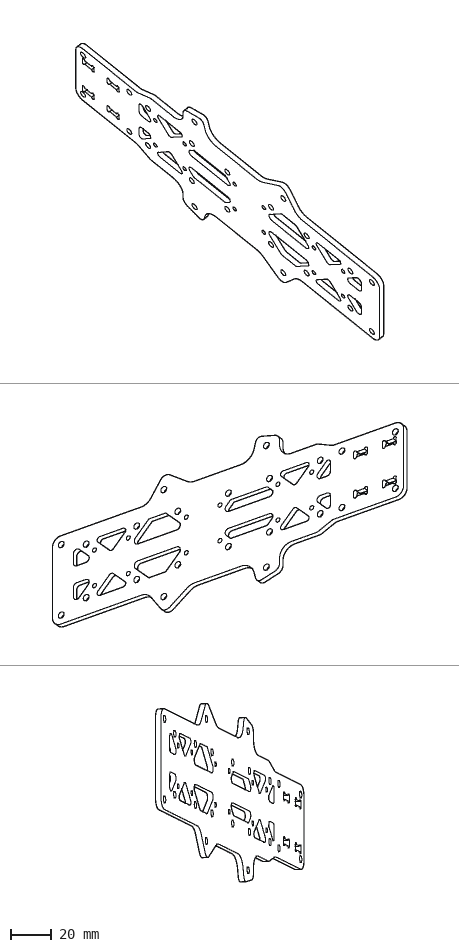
import cadquery as cq
import math

length = 210.0
thickness = 3.0

tail_half = 21.0
body_half = 25.0
waist_half = 28.8
taper_start_x = -62.5
taper_end_x = -53.3

front_ear_left_x = -30.9
front_ear_tip = (-17.2, 41.4)
front_ear_tilt = math.radians(15)

rear_ear_tip = (38.0, 39.7)
rear_ear_tilt = math.radians(35)

plate_corner_radius = 5.0
taper_radius = 4.0
ear_tip_radius = 4.0
front_ear_tip_radius = 3.0
body_root_radius = 7.0
waist_root_radius = 8.0

group_pitch = 54.8
middle_group_x = 15.0
group_centers = [middle_group_x + step * group_pitch for step in (-1, 0, 1)]
bolt_offset = 15.1
pin_offset = 10.0
bolt_diameter = 3.4
pin_diameter = 2.3

edge_holes = [(-100.0, 16.0), (-68.0, 16.0), (-22.9, 34.5), (38.5, 30.2), (99.8, 20.0)]

window_inner_z = 4.8
window_outer_z = 16.5
window_radius = 2.0
triangle_radius = 1.58
tail_tip_radius = 1.36
blunt_radius = 0.8
triangle_half_width = 10.7
slot_outer_z = 11.0
slot_half_length = 17.0
trapezoid_half_length = 13.6
trapezoid_outer_half_length = 5.0
tail_triangle_x = -61.1
tail_triangle_leg = 10.7
nose_triangle_x = 92.5
nose_triangle_leg = 12.2

strap_centers_x = [-96.4, -79.2]
strap_center_z = 11.1
strap_length = 8.2
strap_width = 2.7
relief_diameter = 1.7


def rounded_polygon(corners):
    """Closed XZ outline through (x, z, radius) corners, each rounded by a tangent arc."""
    starts, middles, ends = [], [], []
    count = len(corners)
    for i, (x, z, radius) in enumerate(corners):
        corner = cq.Vector(x, z)
        before = (cq.Vector(*corners[i - 1][:2]) - corner).normalized()
        after = (cq.Vector(*corners[(i + 1) % count][:2]) - corner).normalized()
        half_angle = before.getAngle(after) / 2
        trim = radius / math.tan(half_angle)
        arc_depth = radius / math.sin(half_angle) - radius
        starts.append(corner + before * trim)
        middles.append(corner + (before + after).normalized() * arc_depth)
        ends.append(corner + after * trim)
    outline = cq.Workplane("XZ").moveTo(ends[-1].x, ends[-1].y)
    for start, middle, end in zip(starts, middles, ends):
        outline = outline.lineTo(start.x, start.y)
        outline = outline.threePointArc((middle.x, middle.y), (end.x, end.y))
    return outline.close()


def mirrored_cut(plate, corners):
    """Cut a rounded window and its mirror image below the X axis."""
    for side in (1, -1):
        window = [(x, side * z, radius) for x, z, radius in corners]
        plate = plate.cut(rounded_polygon(window).extrude(thickness))
    return plate


def cut_holes(plate, points, diameter):
    """Drill through holes at (x, z) points and at their mirror images."""
    both_sides = [(x, side * z) for x, z in points for side in (1, -1)]
    drills = cq.Workplane("XZ").pushPoints(both_sides).circle(diameter / 2).extrude(thickness)
    return plate.cut(drills)


def make_plate():
    """Plate with tapered tail, two pairs of ears and rounded ends."""
    tip_x, tip_z = front_ear_tip
    front_ear_left_z = tip_z - (tip_x - front_ear_left_x) * math.tan(front_ear_tilt)
    front_ear_foot_x = tip_x + (tip_z - waist_half) * math.tan(front_ear_tilt)
    peak_x, peak_z = rear_ear_tip
    rear_ear_start_x = peak_x - (peak_z - waist_half) / math.tan(rear_ear_tilt)
    rear_ear_end_x = peak_x + (peak_z - body_half) * math.tan(rear_ear_tilt)
    upper = [
        (-length / 2, tail_half, plate_corner_radius),
        (taper_start_x, tail_half, taper_radius),
        (taper_end_x, body_half, taper_radius),
        (front_ear_left_x, body_half, body_root_radius),
        (front_ear_left_x, front_ear_left_z, ear_tip_radius),
        (tip_x, tip_z, front_ear_tip_radius),
        (front_ear_foot_x, waist_half, waist_root_radius),
        (rear_ear_start_x, waist_half, waist_root_radius),
        (peak_x, peak_z, ear_tip_radius),
        (rear_ear_end_x, body_half, body_root_radius),
        (length / 2, body_half, plate_corner_radius),
    ]
    lower = [(x, -z, radius) for x, z, radius in reversed(upper)]
    return rounded_polygon(upper + lower).extrude(thickness)


def cut_group_holes(plate):
    """Four bolt holes and four pin holes on the corners of squares in each hole group."""
    bolts = [(x + side * bolt_offset, bolt_offset) for x in group_centers for side in (1, -1)]
    pins = [(x + side * pin_offset, pin_offset) for x in group_centers for side in (1, -1)]
    plate = cut_holes(plate, bolts, bolt_diameter)
    return cut_holes(plate, pins, pin_diameter)


def cut_center_triangle(plate, x):
    """Triangle inside a hole group, pointing at the X axis."""
    return mirrored_cut(plate, [
        (x - triangle_half_width, window_outer_z, triangle_radius),
        (x + triangle_half_width, window_outer_z, triangle_radius),
        (x, window_outer_z - triangle_half_width, triangle_radius),
    ])


def cut_end_triangle(plate, x, leg, toward, tip_radius):
    """Right triangle with its upright side at x, pointing toward +X or -X."""
    return mirrored_cut(plate, [
        (x, window_inner_z, window_radius),
        (x + toward * leg, window_inner_z, window_radius),
        (x, window_inner_z + leg, tip_radius),
    ])


def cut_slot(plate, x):
    """Long slot with sloped ends between two hole groups."""
    outer_half_length = slot_half_length - (slot_outer_z - window_inner_z)
    return mirrored_cut(plate, [
        (x - slot_half_length, window_inner_z, window_radius),
        (x + slot_half_length, window_inner_z, window_radius),
        (x + outer_half_length, slot_outer_z, blunt_radius),
        (x - outer_half_length, slot_outer_z, blunt_radius),
    ])


def cut_trapezoid(plate, x):
    """Six sided window with chamfered outer corners between two hole groups."""
    shoulder_z = window_outer_z - (trapezoid_half_length - trapezoid_outer_half_length)
    return mirrored_cut(plate, [
        (x - trapezoid_half_length, window_inner_z, window_radius),
        (x + trapezoid_half_length, window_inner_z, window_radius),
        (x + trapezoid_half_length, shoulder_z, blunt_radius),
        (x + trapezoid_outer_half_length, window_outer_z, blunt_radius),
        (x - trapezoid_outer_half_length, window_outer_z, blunt_radius),
        (x - trapezoid_half_length, shoulder_z, blunt_radius),
    ])


def cut_strap_slots(plate):
    """Short slots near the tail with a round relief at each corner."""
    centers = [(x, side * strap_center_z) for x in strap_centers_x for side in (1, -1)]
    slots = cq.Workplane("XZ").pushPoints(centers).rect(strap_length, strap_width).extrude(thickness)
    relief_x = (strap_length - relief_diameter) / 2
    reliefs = [
        (x + x_side * relief_x, strap_center_z + z_side * strap_width / 2)
        for x in strap_centers_x
        for x_side in (1, -1)
        for z_side in (1, -1)
    ]
    return cut_holes(plate.cut(slots), reliefs, relief_diameter)


tail_group_x, middle_x, nose_group_x = group_centers

result = make_plate()
result = cut_holes(result, edge_holes, bolt_diameter)
result = cut_group_holes(result)
result = cut_center_triangle(result, tail_group_x)
result = cut_center_triangle(result, nose_group_x)
result = cut_end_triangle(result, tail_triangle_x, tail_triangle_leg, 1, tail_tip_radius)
result = cut_end_triangle(result, nose_triangle_x, nose_triangle_leg, -1, window_radius)
result = cut_slot(result, (tail_group_x + middle_x) / 2)
result = cut_trapezoid(result, (middle_x + nose_group_x) / 2)
result = cut_strap_slots(result)